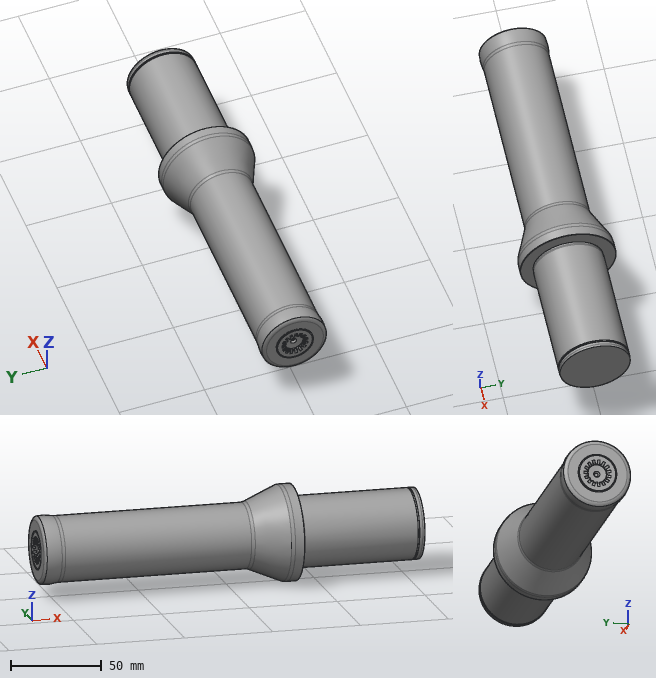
import cadquery as cq
import math

LENGTH = 216.0
HANDLE_DIA = 37.0
SHANK_DIA = 40.0
FLANGE_DIA = 54.0
GROOVE_DIA = 39.5

HEAD_FACE_DIA = 33.3
HEAD_SHOULDER_DIA = 37.8
HEAD_DIA = 38.5
HEAD_ROUND_END = 1.3
HEAD_ROUND_MIDDLE_X = 0.5
HEAD_ROUND_MIDDLE_DIA = 35.9
HEAD_CREST_X = 4.3
HEAD_END_DIA = 37.1
HEAD_END = 10.0
HEAD_BLEND_END = 11.9

CONE_BLEND_START = 117.7
CONE_START = 119.6
CONE_END = 138.2
FLANGE_START = 140.4
FLANGE_END = 145.8
FLANGE_CHAMFER = 0.2
CONE_START_DIA = 37.8
CONE_END_DIA = 53.5

NECK_WIDTH = 2.0
NECK_RUNOUT = 0.9
END_GROOVE_X = 212.0
END_GROOVE_WIDTH = 0.9
END_CHAMFER_LENGTH = 1.3
END_CHAMFER_DEPTH = 0.2

PLUG_DIA = 21.5
PLUG_LENGTH = 6.5
PLUG_CHAMFER = 0.6
RECESS_DIA = 10.5
RECESS_DEPTH = 2.2
RECESS_FLOOR_RISE = 0.5
CENTRE_HOLE_DIA = 3.5
CENTRE_HOLE_TIP_DIA = 2.0
CENTRE_HOLE_DEPTH = 1.3
NOTCH_COUNT = 15
NOTCH_TIP_DIA = 15.3
NOTCH_INNER_DIA = 8.6
NOTCH_DEPTH = 1.0
NOTCH_WIDTH = math.pi * (RECESS_DIA + NOTCH_TIP_DIA) / 2 / (2 * NOTCH_COUNT)


def revolve_about_x(profile):
    """Turn a closed profile of (x, radius) points about the X axis."""
    return profile.close().revolve(360, (0, 0, 0), (1, 0, 0))


def make_holder():
    """Handle, conical flange and shank in one piece, with a seat for the plug."""
    handle_radius = HANDLE_DIA / 2
    shank_radius = SHANK_DIA / 2
    flange_radius = FLANGE_DIA / 2
    groove_radius = GROOVE_DIA / 2
    head_round_middle = (HEAD_ROUND_MIDDLE_X, HEAD_ROUND_MIDDLE_DIA / 2)
    neck_end = FLANGE_END + NECK_WIDTH
    end_groove_end = END_GROOVE_X + END_GROOVE_WIDTH
    profile = (
        cq.Workplane("XY")
        .moveTo(0, 0)
        .lineTo(0, HEAD_FACE_DIA / 2)
        .threePointArc(head_round_middle, (HEAD_ROUND_END, HEAD_SHOULDER_DIA / 2))
        .threePointArc((HEAD_CREST_X, HEAD_DIA / 2), (HEAD_END, HEAD_END_DIA / 2))
        .lineTo(HEAD_BLEND_END, handle_radius)
        .lineTo(CONE_BLEND_START, handle_radius)
        .lineTo(CONE_START, CONE_START_DIA / 2)
        .lineTo(CONE_END, CONE_END_DIA / 2)
        .lineTo(FLANGE_START, flange_radius)
        .lineTo(FLANGE_END - FLANGE_CHAMFER, flange_radius)
        .lineTo(FLANGE_END, flange_radius - FLANGE_CHAMFER)
        .lineTo(FLANGE_END, groove_radius)
        .lineTo(neck_end - NECK_RUNOUT, groove_radius)
        .lineTo(neck_end, shank_radius)
        .lineTo(END_GROOVE_X, shank_radius)
        .lineTo(END_GROOVE_X, groove_radius)
        .lineTo(end_groove_end, groove_radius)
        .lineTo(end_groove_end, shank_radius)
        .lineTo(LENGTH - END_CHAMFER_LENGTH, shank_radius)
        .lineTo(LENGTH, shank_radius - END_CHAMFER_DEPTH)
        .lineTo(LENGTH, 0)
    )
    seat = cq.Workplane("YZ").circle(PLUG_DIA / 2).extrude(PLUG_LENGTH)
    return revolve_about_x(profile).cut(seat)


def make_notch(angle):
    """Radial notch that slopes from the plug face down to the recess wall."""
    profile = [
        (0, NOTCH_TIP_DIA / 2),
        (0, NOTCH_INNER_DIA / 2),
        (NOTCH_DEPTH, NOTCH_INNER_DIA / 2),
        (NOTCH_DEPTH, RECESS_DIA / 2),
    ]
    notch = cq.Workplane("XY").polyline(profile).close().extrude(NOTCH_WIDTH / 2, both=True)
    return notch.rotate((0, 0, 0), (1, 0, 0), angle)


def make_plug():
    """Chamfered disc with a notched recess, a conical floor and a blind centre hole."""
    plug_radius = PLUG_DIA / 2
    hole_bottom = RECESS_DEPTH + CENTRE_HOLE_DEPTH
    profile = (
        cq.Workplane("XY")
        .moveTo(0, RECESS_DIA / 2)
        .lineTo(0, plug_radius - PLUG_CHAMFER)
        .lineTo(PLUG_CHAMFER, plug_radius)
        .lineTo(PLUG_LENGTH, plug_radius)
        .lineTo(PLUG_LENGTH, 0)
        .lineTo(hole_bottom, 0)
        .lineTo(hole_bottom, CENTRE_HOLE_TIP_DIA / 2)
        .lineTo(RECESS_DEPTH, CENTRE_HOLE_DIA / 2)
        .lineTo(RECESS_DEPTH - RECESS_FLOOR_RISE, RECESS_DIA / 2)
    )
    plug = revolve_about_x(profile)
    for index in range(NOTCH_COUNT):
        plug = plug.cut(make_notch(index * 360 / NOTCH_COUNT))
    return plug


holder = make_holder()
plug = make_plug()
result = cq.Compound.makeCompound([holder.val(), plug.val()])